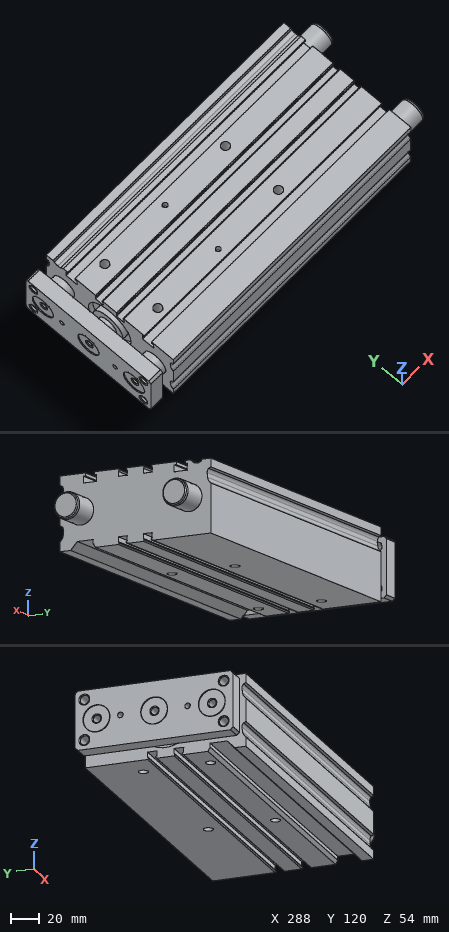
import cadquery as cq
import math


total_length = 288.0
plate_thickness = 12.0
plate_width = 118.0
plate_height = 44.0
plate_chamfer = 2.0

housing_start = 22.0
housing_length = 244.0
housing_width = 120.0
housing_height = 54.0
half_width = housing_width / 2
half_height = housing_height / 2
housing_end = housing_start + housing_length

guide_spacing = 86.0
guide_diameter = 20.0
guide_positions = [guide_spacing / 2, -guide_spacing / 2]
rod_head_diameter = guide_diameter
rod_setback = 1.0
piston_diameter = 16.0
piston_end = housing_start + housing_length / 2
cover_diameter = 40.0
cover_recess = 4.3
cover_thickness = 8.5
nose_diameter = 28.0
nose_projection = 1.7
cover_front = housing_start + cover_recess
cover_back = cover_front + cover_thickness
lead_in_length = 1.5
lead_in_depth = 0.5
tail_chamfer = 1.0

tap_diameter = 5.5
tap_mouth_diameter = 7.0
tap_depth = 14.5

corner_hole_diameter = 6.5
corner_hole_mouth = 8.0
corner_hole_pitch_y = 104.0
corner_hole_pitch_z = 30.0
dowel_diameter = 4.0
dowel_pitch = 50.0

mount_diameter = 7.0
mount_pitch = dowel_pitch
mount_positions = [44.0, 168.0]
locating_depth = 5.8
locating_position = (mount_positions[0] + mount_positions[1]) / 2

sensor_slot_pitch = 20.0
sensor_slot_width = 7.0
sensor_lip_width = 5.2
sensor_lip_depth = 1.0
sensor_throat_depth = 2.0
sensor_slot_depth = 5.5

t_slot_pitch = 72.3
t_mouth_width = 7.0
t_inner_width = 10.5
t_lip_depth = 2.3
t_slot_depth = 7.2

groove_depth = 3.0
groove_step_width = 1.0
groove_step_depth = 1.7
corner_bulge = 0.3
side_groove_width = 11.5
side_corner_end = 3.7
side_floor_width = 3.5
side_floor_rise = 0.3
side_chamfer_width = 1.0
side_chamfer_depth = 1.0
upper_groove_edge = 20.2
lower_groove_edge = -8.5
top_groove_width = 9.5
top_corner_end = 4.3
top_floor_width = 2.5
top_floor_rise = 0.5
top_groove_edge = 53.3
top_ledge_drop = 0.5

channel_mouth = (-31.7, -51.3)
channel_lip = 1.7
channel_lip_depth = 3.0
channel_slope = 5.2
channel_depth = 5.8


def cylinder(x_start, x_end, diameter, y=0.0, z=0.0):
    """Round bar along X."""
    bar = cq.Workplane("YZ").workplane(offset=x_start).center(y, z)
    return bar.circle(diameter / 2).extrude(x_end - x_start)


def mouth_chamfer(x_start, mouth_diameter, hole_diameter, y=0.0, z=0.0):
    """45 degree cone that opens a hole on a face at x_start."""
    cone_height = (mouth_diameter - hole_diameter) / 2
    cone = cq.Solid.makeCone(
        mouth_diameter / 2, hole_diameter / 2, cone_height, cq.Vector(x_start, y, z), cq.Vector(1, 0, 0)
    )
    return cq.Workplane(obj=cone)


def tapped_hole(x_start, y=0.0):
    """Blind hole with a chamfered mouth."""
    hole = cylinder(x_start, x_start + tap_depth, tap_diameter, y)
    return hole.union(mouth_chamfer(x_start, tap_mouth_diameter, tap_diameter, y))


def along_housing(outline):
    """Sweep a closed YZ outline over the length of the housing."""
    return outline.close().extrude(housing_length)


def housing_section():
    return cq.Workplane("YZ").workplane(offset=housing_start)



def sensor_slot(y, side):
    """Slot with a pinched lip; side is +1 for the top and -1 for the bottom."""
    half_steps = [
        (sensor_slot_width / 2, 0),
        (sensor_lip_width / 2, sensor_lip_depth),
        (sensor_slot_width / 2, sensor_throat_depth),
        (sensor_slot_width / 2, sensor_slot_depth),
    ]
    right = [(y + w, side * (half_height - d)) for w, d in half_steps]
    left = [(y - w, side * (half_height - d)) for w, d in reversed(half_steps)]
    return along_housing(housing_section().polyline(right + left))


def t_slot(y):
    mouth_height = t_lip_depth
    inner_height = t_slot_depth - t_lip_depth
    mouth = housing_section().center(y, half_height - mouth_height / 2)
    inner = housing_section().center(y, half_height - t_lip_depth - inner_height / 2)
    mouth = mouth.rect(t_mouth_width, mouth_height).extrude(housing_length)
    return mouth.union(inner.rect(t_inner_width, inner_height).extrude(housing_length))


def corner_arc(start, end):
    """Middle point of a shallow concave arc between two points, as (along, down)."""
    chord = math.dist(start, end)
    along = (start[0] + end[0]) / 2 + corner_bulge * (start[1] - end[1]) / chord
    return along, (start[1] + end[1]) / 2 + corner_bulge * (end[0] - start[0]) / chord


def stepped_corner(place, corner_end):
    """Open outline from the groove's edge down its step and round its corner to the floor.

    place(along, down) gives the YZ point at a distance along the face and a depth under it.
    """
    step_foot = (groove_step_width, groove_step_depth)
    floor_start = (corner_end, groove_depth)
    return (
        housing_section()
        .moveTo(*place(0, 0))
        .lineTo(*place(*step_foot))
        .threePointArc(place(*corner_arc(step_foot, floor_start)), place(*floor_start))
    )


def side_groove(top_edge, side):
    """Groove in the +Y (side = 1) or -Y (side = -1) face, its step up and a chamfer at its lower edge."""
    def place(along, down):
        return side * (half_width - down), top_edge - along

    floor_end = (side_corner_end + side_floor_width, groove_depth - side_floor_rise)
    chamfer_foot = (side_groove_width - side_chamfer_width, side_chamfer_depth)
    outline = (
        stepped_corner(place, side_corner_end)
        .lineTo(*place(*floor_end))
        .threePointArc(place(*corner_arc(floor_end, chamfer_foot)), place(*chamfer_foot))
        .lineTo(*place(side_groove_width, 0))
    )
    return along_housing(outline)


def top_groove():
    """Groove in the top face, its step at the +Y edge and a straight slope at the other."""
    def place(along, down):
        return top_groove_edge - along, half_height - down

    floor_end = (top_corner_end + top_floor_width, groove_depth - top_floor_rise)
    outline = (
        stepped_corner(place, top_corner_end)
        .lineTo(*place(*floor_end))
        .lineTo(*place(top_groove_width, 0))
    )
    return along_housing(outline)


def top_ledge():
    """Strip that lowers the top between the top groove and the +Y side."""
    ledge_width = half_width - top_groove_edge
    ledge = housing_section().center(half_width - ledge_width / 2, half_height - top_ledge_drop / 2)
    return ledge.rect(ledge_width, top_ledge_drop).extrude(housing_length)


def bottom_channel():
    inner_edge, outer_edge = channel_mouth
    outline = [
        (inner_edge, -half_height),
        (inner_edge - channel_lip, -half_height + channel_lip_depth),
        (inner_edge - channel_lip, -half_height + channel_depth),
        (outer_edge + channel_slope, -half_height + channel_depth),
        (outer_edge, -half_height),
    ]
    return along_housing(housing_section().polyline(outline))


def mounting_holes():
    centres = [(x, y) for x in mount_positions for y in (mount_pitch / 2, -mount_pitch / 2)]
    holes = cq.Workplane("XY").workplane(offset=-half_height).pushPoints(centres)
    return holes.circle(mount_diameter / 2).extrude(housing_height)


def locating_holes():
    centres = [(locating_position, y) for y in (mount_pitch / 2, -mount_pitch / 2)]
    holes = cq.Workplane("XY").workplane(offset=half_height).pushPoints(centres)
    return holes.circle(dowel_diameter / 2).extrude(-locating_depth)



def make_housing():
    body = housing_section().rect(housing_width, housing_height).extrude(housing_length)
    for y in (sensor_slot_pitch / 2, -sensor_slot_pitch / 2):
        for side in (1, -1):
            body = body.cut(sensor_slot(y, side))
    for y in (t_slot_pitch / 2, -t_slot_pitch / 2):
        body = body.cut(t_slot(y))
    body = body.cut(side_groove(upper_groove_edge, 1))
    body = body.cut(side_groove(upper_groove_edge, -1))
    body = body.cut(side_groove(lower_groove_edge, -1))
    body = body.cut(top_groove()).cut(top_ledge()).cut(bottom_channel())
    body = body.cut(mounting_holes()).cut(locating_holes())
    for y in guide_positions:
        body = body.cut(cylinder(housing_start, housing_end, guide_diameter, y))
    body = body.cut(cylinder(housing_start, cover_back, cover_diameter))
    return body.cut(cylinder(cover_back, piston_end, piston_diameter))


def make_plate():
    body = cq.Workplane("YZ").rect(plate_width, plate_height).extrude(plate_thickness)
    body = body.edges("|X").chamfer(plate_chamfer)
    for y in (corner_hole_pitch_y / 2, -corner_hole_pitch_y / 2):
        for z in (corner_hole_pitch_z / 2, -corner_hole_pitch_z / 2):
            body = body.cut(cylinder(0, plate_thickness, corner_hole_diameter, y, z))
            body = body.cut(mouth_chamfer(0, corner_hole_mouth, corner_hole_diameter, y, z))
    for y in (dowel_pitch / 2, -dowel_pitch / 2):
        body = body.cut(cylinder(0, plate_thickness, dowel_diameter, y))
    for y in guide_positions:
        body = body.cut(cylinder(0, plate_thickness, guide_diameter, y))
    return body.cut(cylinder(0, plate_thickness, rod_head_diameter))


def make_guide_rod(y):
    """Full-length rod with a gentle lead-in and a chamfer at its free end."""
    radius = guide_diameter / 2
    lead_in_radius = radius - lead_in_depth
    profile = [
        (rod_setback, 0),
        (rod_setback, radius),
        (total_length - tail_chamfer - lead_in_length, radius),
        (total_length - tail_chamfer, lead_in_radius),
        (total_length, lead_in_radius - tail_chamfer),
        (total_length, 0),
    ]
    rod = cq.Workplane("XY").polyline(profile).close().revolve(360, (0, 0, 0), (1, 0, 0))
    return rod.translate((0, y, 0)).cut(tapped_hole(rod_setback, y))


def make_piston_rod():
    """Rod with a head that fills the middle bore of the tool plate."""
    head = cylinder(rod_setback, plate_thickness, rod_head_diameter)
    shaft = cylinder(plate_thickness, piston_end, piston_diameter)
    return head.union(shaft).cut(tapped_hole(rod_setback))


def make_cover():
    """Disc set back in the housing bore, with a nose around the piston rod that stands out of it."""
    disc = cylinder(cover_front, cover_back, cover_diameter)
    nose = cylinder(housing_start - nose_projection, cover_front, nose_diameter)
    return disc.union(nose).cut(cylinder(housing_start - nose_projection, cover_back, piston_diameter))


housing = make_housing()
plate = make_plate()
guide_rods = [make_guide_rod(y) for y in guide_positions]
piston_rod = make_piston_rod()
cover = make_cover()

result = cq.Compound.makeCompound(
    [housing.val(), plate.val(), *[rod.val() for rod in guide_rods], piston_rod.val(), cover.val()]
)